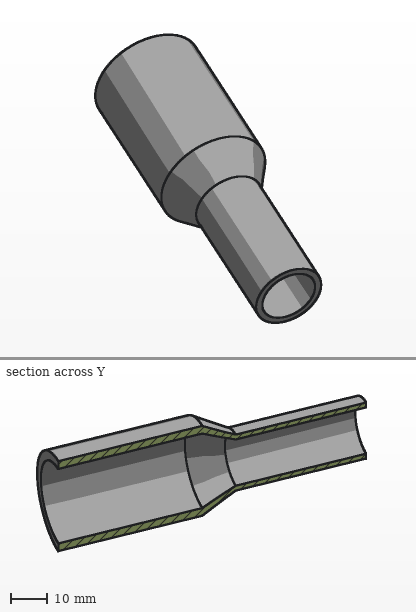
import cadquery as cq

large_outer_diameter = 32.0
large_bore_diameter = 26.2
small_outer_diameter = 20.0
small_bore_diameter = 16.2
large_length = 43.0
cone_length = 10.0
total_length = 92.0

cone_start = large_length
cone_end = cone_start + cone_length


def stepped_body(large_diameter, small_diameter):
    """Solid of revolution about X: large cylinder, cone, small cylinder."""
    large_radius = large_diameter / 2
    small_radius = small_diameter / 2
    return (
        cq.Workplane("XY")
        .moveTo(0, 0)
        .lineTo(0, large_radius)
        .lineTo(cone_start, large_radius)
        .lineTo(cone_end, small_radius)
        .lineTo(total_length, small_radius)
        .lineTo(total_length, 0)
        .close()
        .revolve(360, (0, 0, 0), (1, 0, 0))
    )


outer_body = stepped_body(large_outer_diameter, small_outer_diameter)
bore = stepped_body(large_bore_diameter, small_bore_diameter)

result = outer_body.cut(bore)